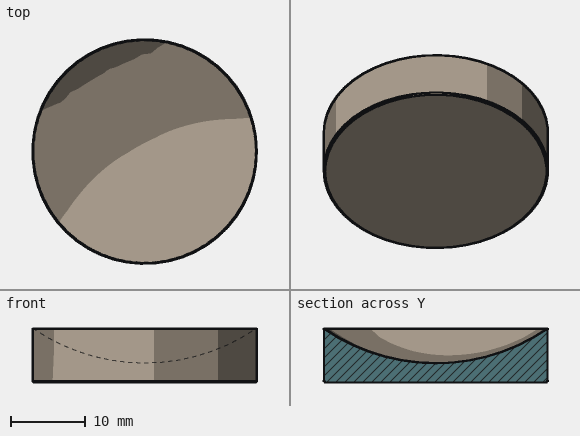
import cadquery as cq
import math

diameter = 30.0
height = 7.23
bowl_radius = 26.4
top_chamfer = 0.1
bottom_chamfer = 0.2

outer_radius = diameter / 2
rim_radius = outer_radius - top_chamfer
base_radius = outer_radius - bottom_chamfer

sphere_centre_z = height + math.sqrt(bowl_radius**2 - rim_radius**2)
bowl_bottom_z = sphere_centre_z - bowl_radius

half_angle = math.asin(rim_radius / bowl_radius) / 2
arc_middle = (
    bowl_radius * math.sin(half_angle),
    sphere_centre_z - bowl_radius * math.cos(half_angle),
)

half_section = (
    cq.Workplane("XZ")
    .moveTo(0, 0)
    .lineTo(base_radius, 0)
    .lineTo(outer_radius, bottom_chamfer)
    .lineTo(outer_radius, height - top_chamfer)
    .lineTo(rim_radius, height)
    .threePointArc(arc_middle, (0, bowl_bottom_z))
    .close()
)
result = half_section.revolve(360, (0, 0, 0), (0, 1, 0))